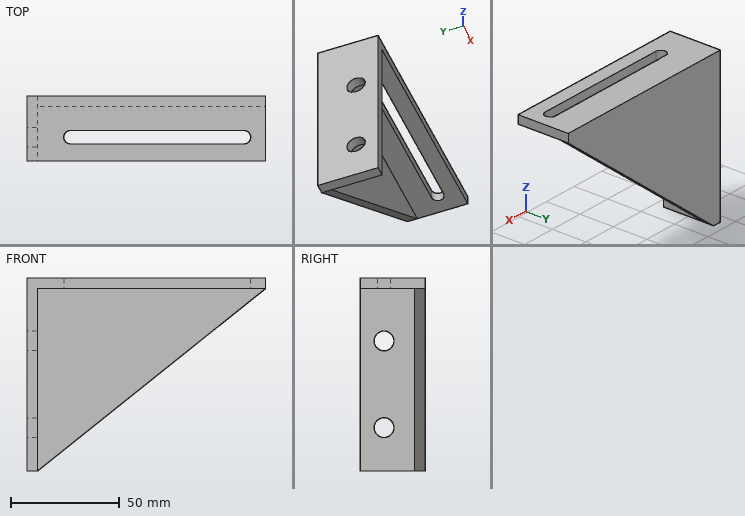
import cadquery as cq

length = 110.0
width = 30.0
height = 89.0
thickness = 5.0

opening_y = 11.0
slot_start_x = 17.0
slot_length = 86.0
slot_width = 6.0
hole_diameter = 9.0
hole_heights = (20.0, 60.0)


def make_angle():
    """Horizontal top plate joined to a vertical wall plate."""
    top_plate = cq.Workplane("XY").box(length, width, thickness, centered=False)
    top_plate = top_plate.translate((0, 0, height - thickness))
    wall_plate = cq.Workplane("XY").box(thickness, width, height, centered=False)
    return top_plate.union(wall_plate)


def make_rib():
    """Triangular web flush with the back edges of both plates."""
    web = (
        cq.Workplane("XZ")
        .moveTo(thickness, 0)
        .lineTo(length, height - thickness)
        .lineTo(thickness, height - thickness)
        .close()
        .extrude(thickness)
    )
    return web.translate((0, width, 0))


def make_slot():
    """Round-ended cutter through the top plate."""
    return (
        cq.Workplane("XY", origin=(0, 0, height - thickness))
        .center(slot_start_x + slot_length / 2, opening_y)
        .slot2D(slot_length, slot_width)
        .extrude(thickness)
    )


def make_holes():
    """Mounting hole cutters through the wall plate."""
    return (
        cq.Workplane("YZ")
        .pushPoints([(opening_y, z) for z in hole_heights])
        .circle(hole_diameter / 2)
        .extrude(thickness)
    )


result = make_angle().union(make_rib()).cut(make_slot()).cut(make_holes())